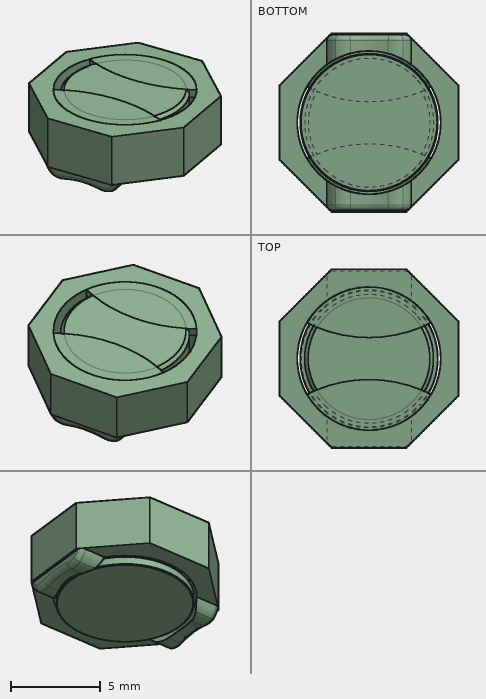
import cadquery as cq
import math

SLEEVE_WIDTH = 10.0
SLEEVE_HEIGHT = 3.1
SLEEVE_SIDES = 8
BORE_RADIUS = 4.0

DRUM_RADIUS = 3.6
DRUM_TOP_CHAMFER = 0.2
FLANGE_RADIUS = 3.85
FLANGE_THICKNESS = 0.51
FLANGE_CHAMFER = 0.05

FILLING_END_ANGLE = 30.0
FILLING_INNER_Y = 1.17
FILLING_DEPTH = 0.5

FOOT_OUTER_Y = 4.9
FOOT_ROOT_X = 2.35
FOOT_SIDE_X, FOOT_SIDE_Z = 2.16, -0.34
FOOT_CORNER_X, FOOT_CORNER_Z = 1.88, -0.61
FOOT_LOW_X, FOOT_LOW_Z = 1.44, -0.71
FOOT_BEND_X, FOOT_BEND_Z = 1.06, -0.66
FOOT_MIDDLE_Z = -0.54
FOOT_FILLET = 0.3


def make_sleeve():
    """Regular octagon with flats facing X and Y, and a round bore through it."""
    half_side_angle = 180 / SLEEVE_SIDES
    corner_diameter = SLEEVE_WIDTH / math.cos(math.radians(half_side_angle))
    octagon = (
        cq.Workplane("XY")
        .polygon(SLEEVE_SIDES, corner_diameter)
        .extrude(SLEEVE_HEIGHT)
        .rotate((0, 0, 0), (0, 0, 1), half_side_angle)
    )
    bore = cq.Workplane("XY").circle(BORE_RADIUS).extrude(SLEEVE_HEIGHT)
    return octagon.cut(bore)


def make_plain_drum():
    """Drum flush with the sleeve top, with a wider flange below the sleeve."""
    body = (
        cq.Workplane("XY")
        .circle(DRUM_RADIUS)
        .extrude(SLEEVE_HEIGHT)
        .faces(">Z")
        .chamfer(DRUM_TOP_CHAMFER)
    )
    flange = (
        cq.Workplane("XY")
        .circle(FLANGE_RADIUS)
        .extrude(-FLANGE_THICKNESS)
        .faces("<Z")
        .chamfer(FLANGE_CHAMFER)
    )
    return body.union(flange)


def make_filling(plain_drum):
    """Flush segment between the bore and an inward bulging arc.

    It fills the gap around the drum and a recess in the drum top. The two
    parts are fused without merging faces, which keeps the seam circle on top.
    """
    end_x = BORE_RADIUS * math.cos(math.radians(FILLING_END_ANGLE))
    end_y = BORE_RADIUS * math.sin(math.radians(FILLING_END_ANGLE))
    segment = (
        cq.Workplane("XY", origin=(0, 0, SLEEVE_HEIGHT))
        .moveTo(-end_x, end_y)
        .threePointArc((0, FILLING_INNER_Y), (end_x, end_y))
        .threePointArc((0, BORE_RADIUS), (-end_x, end_y))
        .close()
        .extrude(-FILLING_DEPTH)
    )
    gap_part = segment.cut(plain_drum)
    recess_part = segment.intersect(plain_drum)
    return gap_part.union(recess_part, clean=False)


def make_foot():
    """Wavy foot on the -Y side, rounded outside and hollowed by the bore circle."""
    blank = (
        cq.Workplane("XZ")
        .moveTo(-FOOT_ROOT_X, 0)
        .threePointArc((-FOOT_SIDE_X, FOOT_SIDE_Z), (-FOOT_CORNER_X, FOOT_CORNER_Z))
        .threePointArc((-FOOT_LOW_X, FOOT_LOW_Z), (-FOOT_BEND_X, FOOT_BEND_Z))
        .threePointArc((0, FOOT_MIDDLE_Z), (FOOT_BEND_X, FOOT_BEND_Z))
        .threePointArc((FOOT_LOW_X, FOOT_LOW_Z), (FOOT_CORNER_X, FOOT_CORNER_Z))
        .threePointArc((FOOT_SIDE_X, FOOT_SIDE_Z), (FOOT_ROOT_X, 0))
        .close()
        .extrude(FOOT_OUTER_Y)
        .faces("<Y")
        .edges("not >Z")
        .fillet(FOOT_FILLET)
    )
    bore = cq.Workplane("XY").circle(BORE_RADIUS).extrude(2 * FOOT_LOW_Z)
    return blank.cut(bore)


def make_opposite_pair(body):
    """The body and its copy on the opposite side of the Z axis."""
    return [body.rotate((0, 0, 0), (0, 0, 1), angle) for angle in (0, 180)]


sleeve = make_sleeve()
plain_drum = make_plain_drum()
fillings = make_opposite_pair(make_filling(plain_drum))
feet = make_opposite_pair(make_foot())

drum = plain_drum
for filling in fillings:
    drum = drum.cut(filling)

bodies = [sleeve, drum, *fillings, *feet]
result = cq.Compound.makeCompound([body.solids().val() for body in bodies])